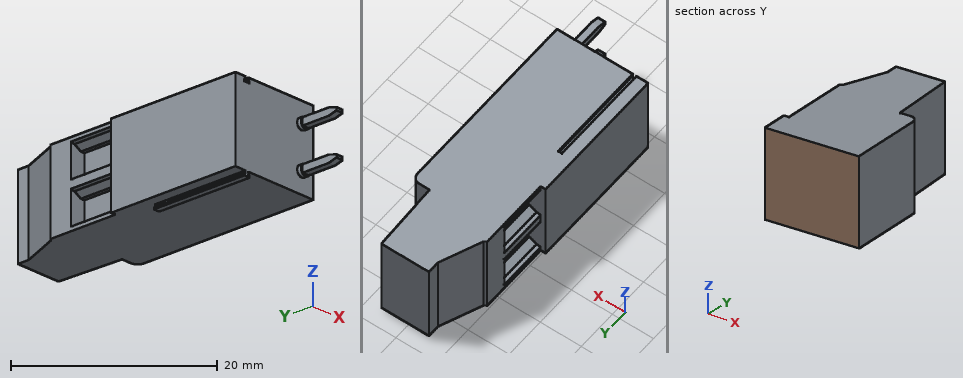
import cadquery as cq
import math

HOUSING_WIDTH = 11.1
HOUSING_LENGTH = 31.5
HOUSING_HEIGHT = 10.0
STEP_Y = 16.5
STEP_DEPTH = 0.6
BEVEL_START_Y = 25.1
BEVEL_BREAK_X = 0.3
BEVEL_BREAK_Y = 0.2
BEVEL_END_X = 2.85
BEVEL_END_Y = 30.05
NOSE_TOP_X = 8.65
NOSE_BASE_X = 8.95
SHOULDER_Y = 23.35
SHOULDER_RADIUS = 0.9

PITCH = 5.0
POLE_HEIGHTS = [PITCH / 2, PITCH * 3 / 2]

WINDOW_END_Y = 22.35
WINDOW_MOUTH_HEIGHT = 4.0
WINDOW_INNER_HEIGHT = 2.8
WINDOW_SILL_RISE = 0.1
WINDOW_SILL_DEPTH = 0.5
WINDOW_SLOPE_DEPTH = 0.9
WINDOW_DEPTH = 1.9

RAIL_X = 1.65
RAIL_LENGTH = 12.0
RAIL_DEPTH = 0.57
RAIL_NECK_WIDTH = 0.45
RAIL_HEAD_RADIUS = 0.38

PIN_X = 9.46
PIN_LENGTH = 5.0
PIN_WIDTH = 0.9
PIN_TAPER_LENGTH = 1.0
PIN_TIP_THICKNESS = 0.35
COLLAR_DIAMETER = 1.32
COLLAR_LENGTH = 0.5


def make_housing():
    arc_offset = SHOULDER_RADIUS * (1 - math.sqrt(0.5))
    return (
        cq.Workplane("XY")
        .moveTo(0, 0)
        .lineTo(0, STEP_Y)
        .lineTo(STEP_DEPTH, STEP_Y)
        .lineTo(STEP_DEPTH, BEVEL_START_Y)
        .lineTo(STEP_DEPTH + BEVEL_BREAK_X, BEVEL_START_Y + BEVEL_BREAK_Y)
        .lineTo(BEVEL_END_X, BEVEL_END_Y)
        .lineTo(BEVEL_END_X, HOUSING_LENGTH)
        .lineTo(NOSE_TOP_X, HOUSING_LENGTH)
        .lineTo(NOSE_BASE_X, SHOULDER_Y)
        .lineTo(HOUSING_WIDTH - SHOULDER_RADIUS, SHOULDER_Y)
        .threePointArc(
            (HOUSING_WIDTH - arc_offset, SHOULDER_Y - arc_offset),
            (HOUSING_WIDTH, SHOULDER_Y - SHOULDER_RADIUS),
        )
        .lineTo(HOUSING_WIDTH, 0)
        .close()
        .extrude(HOUSING_HEIGHT)
    )


def make_window(center_z):
    """Pocket whose floor and ceiling slope towards each other behind a rounded mouth."""
    half_mouth = WINDOW_MOUTH_HEIGHT / 2
    half_inner = WINDOW_INNER_HEIGHT / 2
    half_sill = half_mouth - WINDOW_SILL_RISE
    sill_x = STEP_DEPTH + WINDOW_SILL_DEPTH
    slope_x = sill_x + WINDOW_SLOPE_DEPTH
    back_x = STEP_DEPTH + WINDOW_DEPTH
    sill_radius = (WINDOW_SILL_DEPTH**2 + WINDOW_SILL_RISE**2) / (2 * WINDOW_SILL_RISE)
    half_sweep = math.asin(WINDOW_SILL_DEPTH / sill_radius) / 2
    arc_x = sill_x - sill_radius * math.sin(half_sweep)
    arc_z = half_sill + sill_radius * (1 - math.cos(half_sweep))
    return (
        cq.Workplane("XZ", origin=(0, WINDOW_END_Y, center_z))
        .moveTo(STEP_DEPTH, -half_mouth)
        .threePointArc((arc_x, -arc_z), (sill_x, -half_sill))
        .lineTo(slope_x, -half_inner)
        .lineTo(back_x, -half_inner)
        .lineTo(back_x, half_inner)
        .lineTo(slope_x, half_inner)
        .lineTo(sill_x, half_sill)
        .threePointArc((arc_x, arc_z), (STEP_DEPTH, half_mouth))
        .close()
        .extrude(WINDOW_END_Y - STEP_Y)
    )


def make_rail(surface_z):
    """Narrow neck hanging below surface_z, ending in a half-round head with a flat underside."""
    half_neck = RAIL_NECK_WIDTH / 2
    neck_end_z = math.sqrt(RAIL_HEAD_RADIUS**2 - half_neck**2) - RAIL_DEPTH
    half_angle = math.acos(half_neck / RAIL_HEAD_RADIUS) / 2
    arc_x = RAIL_HEAD_RADIUS * math.cos(half_angle)
    arc_z = RAIL_HEAD_RADIUS * math.sin(half_angle) - RAIL_DEPTH
    return (
        cq.Workplane("XZ", origin=(RAIL_X, 0, surface_z))
        .moveTo(-half_neck, 0)
        .lineTo(-half_neck, neck_end_z)
        .threePointArc((-arc_x, arc_z), (-RAIL_HEAD_RADIUS, -RAIL_DEPTH))
        .lineTo(RAIL_HEAD_RADIUS, -RAIL_DEPTH)
        .threePointArc((arc_x, arc_z), (half_neck, neck_end_z))
        .lineTo(half_neck, 0)
        .close()
        .extrude(-RAIL_LENGTH)
    )


def make_pin(center_z):
    """Square pin with a round collar; the tip tapers in Z only."""
    half_width = PIN_WIDTH / 2
    half_tip = PIN_TIP_THICKNESS / 2
    taper_y = PIN_TAPER_LENGTH - PIN_LENGTH
    blade = (
        cq.Workplane("YZ", origin=(PIN_X, 0, center_z))
        .moveTo(0, half_width)
        .lineTo(taper_y, half_width)
        .lineTo(-PIN_LENGTH, half_tip)
        .lineTo(-PIN_LENGTH, -half_tip)
        .lineTo(taper_y, -half_width)
        .lineTo(0, -half_width)
        .close()
        .extrude(half_width, both=True)
    )
    collar = (
        cq.Workplane("XZ", origin=(PIN_X, 0, center_z))
        .circle(COLLAR_DIAMETER / 2)
        .extrude(COLLAR_LENGTH)
    )
    return blade.union(collar)


result = make_housing()
for pole_z in POLE_HEIGHTS:
    result = result.cut(make_window(pole_z))
    result = result.union(make_pin(pole_z))
result = result.cut(make_rail(HOUSING_HEIGHT))
result = result.union(make_rail(0))